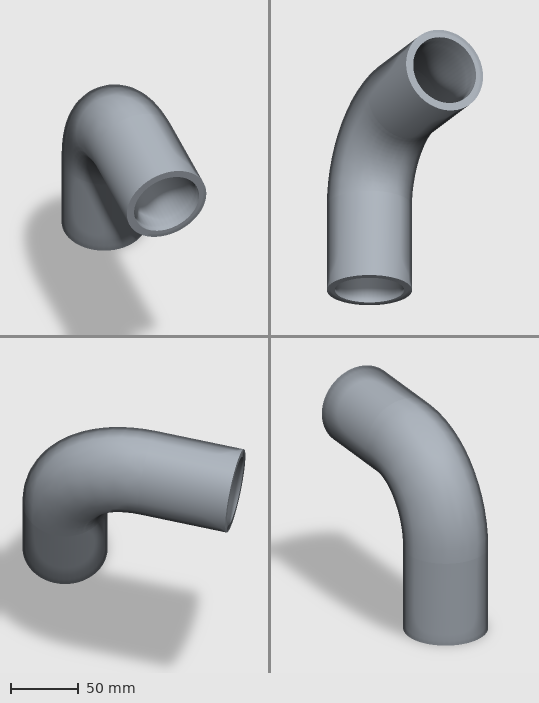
import cadquery as cq

overall_length = 161.0
outer_diameter = 63.0
bore_diameter = 51.4

bend_radius = outer_diameter
bend_angle = 90
leg_length = overall_length - bend_radius - outer_diameter / 2


def elbow(diameter):
    """Solid elbow: vertical leg up from the origin, bend, then a leg along +X."""
    vertical_leg = cq.Workplane("XY").circle(diameter / 2).extrude(leg_length)

    bend = (
        cq.Workplane("XY", origin=(0, 0, leg_length))
        .circle(diameter / 2)
        .revolve(bend_angle, (bend_radius, 0), (bend_radius, 1))
    )

    horizontal_leg = (
        cq.Workplane("YZ", origin=(bend_radius, 0, leg_length + bend_radius))
        .circle(diameter / 2)
        .extrude(leg_length)
    )
    return vertical_leg.union(bend).union(horizontal_leg)


result = elbow(outer_diameter).cut(elbow(bore_diameter))